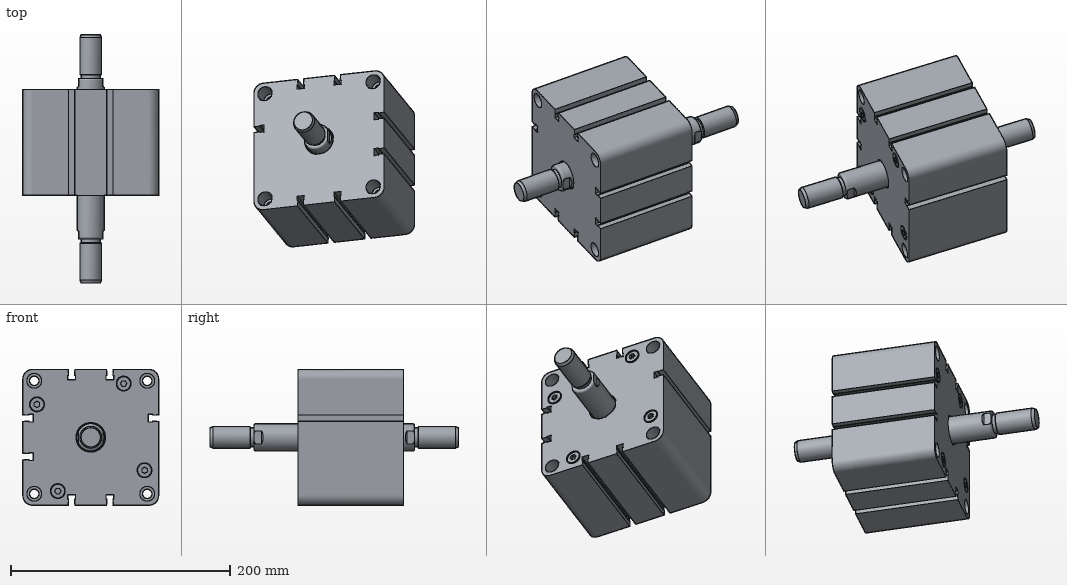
import cadquery as cq
import math

BODY_WIDTH = 124.0
BODY_LENGTH = 96.5
CORNER_RADIUS = 9.0
COVER_LENGTH = 19.25
TUBE_LENGTH = BODY_LENGTH - 2 * COVER_LENGTH
HALF_WIDTH = BODY_WIDTH / 2

MOUNT_SPACING = 103.0
MOUNT_HOLE_DIAMETER = 8.38
MOUNT_BORE_DIAMETER = 13.5
MOUNT_BORE_DEPTH = 19.0

SCREW_COUNT = 4
SCREW_X = 30.0
SCREW_Z = 49.0
SCREW_BORE_DIAMETER = 13.5
SCREW_HEAD_DIAMETER = 12.5
SCREW_RECESS_DEPTH = 1.0
SOCKET_ACROSS_FLATS = 5.0
SOCKET_DEPTH = 3.0

SLOT_OFFSET = 17.5
SLOT_MOUTH_WIDTH = 6.0
SLOT_THROAT_WIDTH = 5.4
SLOT_TAPER_DEPTH = 4.0
SLOT_HEAD_WIDTH = 6.8
SLOT_LIP_DEPTH = 5.6
SLOT_DEPTH = 9.45
SLOTS = [
    (0, -SLOT_OFFSET),
    (0, SLOT_OFFSET),
    (180, -SLOT_OFFSET),
    (180, SLOT_OFFSET),
    (-90, -SLOT_OFFSET),
    (-90, SLOT_OFFSET),
    (90, -SLOT_OFFSET),
]

FRONT_SHOULDER_LENGTH = 40.0
REAR_SHOULDER_LENGTH = 10.0
ROD_END_LENGTH = 40.0
ROD_DIAMETER = 25.0
ROD_CLEARANCE_DIAMETER = 27.0
ROD_CLEARANCE_DEPTH = 2.0
SHOULDER_RADIUS = 2.0
NECK_DIAMETER = 17.5
NECK_LENGTH = 3.0
THREAD_DIAMETER = 20.0
THREAD_RUNOUT_LENGTH = 0.7
THREAD_CHAMFER_LENGTH = 2.8
FLAT_ACROSS = 22.0
FLAT_LENGTH = 7.0


def front_plane(y):
    """Workplane at the given y whose normal points toward +Y and whose local y is -Z."""
    return cq.Workplane("XZ", origin=(0, y, 0)).transformed(rotate=(180, 0, 0))


def make_slot(side_angle, offset):
    """T-slot cutter opening on +Z, moved to its offset and turned to its side of the body."""
    mouth_half = SLOT_MOUTH_WIDTH / 2
    throat_half = SLOT_THROAT_WIDTH / 2
    head_half = SLOT_HEAD_WIDTH / 2
    taper_z = HALF_WIDTH - SLOT_TAPER_DEPTH
    lip_z = HALF_WIDTH - SLOT_LIP_DEPTH
    floor_z = HALF_WIDTH - SLOT_DEPTH
    profile = [
        (-mouth_half, HALF_WIDTH),
        (-throat_half, taper_z),
        (-throat_half, lip_z),
        (-head_half, lip_z),
        (-head_half, floor_z),
        (head_half, floor_z),
        (head_half, lip_z),
        (throat_half, lip_z),
        (throat_half, taper_z),
        (mouth_half, HALF_WIDTH),
    ]
    slot = cq.Workplane("XZ").polyline(profile).close().extrude(-BODY_LENGTH)
    return slot.translate((offset, 0, 0)).rotate((0, 0, 0), (0, 1, 0), side_angle)


def make_section(y_start, length):
    """One length of the slotted square body with rounded long edges."""
    block = cq.Workplane("XY").box(BODY_WIDTH, length, BODY_WIDTH)
    section = block.edges("|Y").fillet(CORNER_RADIUS).translate((0, y_start + length / 2, 0))
    for side_angle, offset in SLOTS:
        section = section.cut(make_slot(side_angle, offset))
    return section


def make_body():
    """Front cover, tube and rear cover in one solid; clean=False keeps the parting lines on it."""
    front_cover = make_section(0, COVER_LENGTH)
    tube = make_section(COVER_LENGTH, TUBE_LENGTH)
    rear_cover = make_section(COVER_LENGTH + TUBE_LENGTH, COVER_LENGTH)
    return front_cover.union(tube, clean=False).union(rear_cover, clean=False)


def make_mount_holes():
    """Through holes in the four corners, with a wide bore from each end face."""
    holes = front_plane(0).rect(MOUNT_SPACING, MOUNT_SPACING, forConstruction=True).vertices()
    cutter = holes.circle(MOUNT_HOLE_DIAMETER / 2).extrude(BODY_LENGTH)
    for y_start in (0, BODY_LENGTH - MOUNT_BORE_DEPTH):
        corners = front_plane(y_start).rect(MOUNT_SPACING, MOUNT_SPACING, forConstruction=True).vertices()
        cutter = cutter.union(corners.circle(MOUNT_BORE_DIAMETER / 2).extrude(MOUNT_BORE_DEPTH))
    return cutter


def make_screw_recess():
    """Annular gap around one screw head plus its hexagon socket, in the front face."""
    place = front_plane(0).center(SCREW_X, -SCREW_Z)
    gap = place.circle(SCREW_BORE_DIAMETER / 2).circle(SCREW_HEAD_DIAMETER / 2).extrude(SCREW_RECESS_DEPTH)
    socket_diameter = SOCKET_ACROSS_FLATS / math.cos(math.pi / 6)
    socket = place.polygon(6, socket_diameter).extrude(SOCKET_DEPTH)
    return gap.union(socket)


def make_rod_end(shoulder_length):
    """Rod end pointing toward -Y from y = 0, with shoulder, neck, thread and two wrench flats."""
    rod_radius = ROD_DIAMETER / 2
    neck_radius = NECK_DIAMETER / 2
    thread_radius = THREAD_DIAMETER / 2
    thread_start = shoulder_length + NECK_LENGTH
    tip = shoulder_length + ROD_END_LENGTH
    shoulder_arc_start = (rod_radius, SHOULDER_RADIUS - shoulder_length)
    shoulder_arc_end = (rod_radius - SHOULDER_RADIUS, -shoulder_length)
    profile = (
        cq.Workplane("XY")
        .moveTo(0, ROD_CLEARANCE_DEPTH)
        .lineTo(rod_radius, ROD_CLEARANCE_DEPTH)
        .lineTo(*shoulder_arc_start)
        .radiusArc(shoulder_arc_end, SHOULDER_RADIUS)
        .lineTo(neck_radius, -shoulder_length)
        .lineTo(neck_radius, -thread_start)
        .lineTo(thread_radius, -thread_start - THREAD_RUNOUT_LENGTH)
        .lineTo(thread_radius, THREAD_CHAMFER_LENGTH - tip)
        .lineTo(neck_radius, -tip)
        .lineTo(0, -tip)
        .close()
    )
    rod = profile.revolve(360, (0, 0, 0), (0, 1, 0))
    flat_half = FLAT_ACROSS / 2
    run_out = rod_radius - flat_half
    flat_end = FLAT_LENGTH - shoulder_length
    for side in (-1, 1):
        flat_profile = [
            (side * flat_half, -shoulder_length),
            (side * flat_half, flat_end),
            (side * rod_radius, flat_end + run_out),
            (side * rod_radius, -shoulder_length),
        ]
        flat = cq.Workplane("XY").polyline(flat_profile).close().extrude(rod_radius, both=True)
        rod = rod.cut(flat)
    return rod


body = make_body()
body = body.cut(make_mount_holes(), clean=False)

screw_recess = make_screw_recess()
for screw in range(SCREW_COUNT):
    turn = screw * 360 / SCREW_COUNT
    body = body.cut(screw_recess.rotate((0, 0, 0), (0, 1, 0), turn), clean=False)

for face_y in (0, BODY_LENGTH - ROD_CLEARANCE_DEPTH):
    clearance = front_plane(face_y).circle(ROD_CLEARANCE_DIAMETER / 2).extrude(ROD_CLEARANCE_DEPTH)
    body = body.cut(clearance, clean=False)

front_rod = make_rod_end(FRONT_SHOULDER_LENGTH)
rear_rod = make_rod_end(REAR_SHOULDER_LENGTH).rotate((0, 0, 0), (0, 0, 1), 180)
rear_rod = rear_rod.translate((0, BODY_LENGTH, 0))

result = body.union(front_rod, clean=False).union(rear_rod, clean=False).solids()